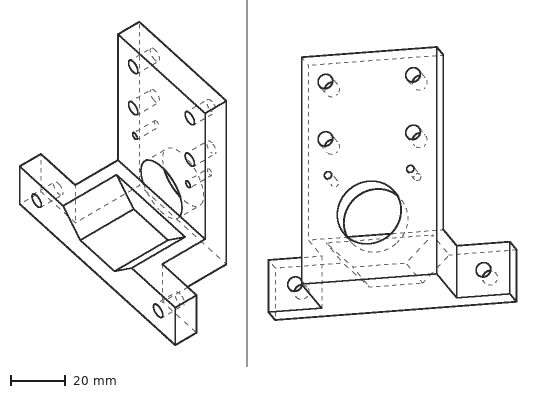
import cadquery as cq

base_width = 91.0
total_depth = 40.0
total_height = 87.0
wall = 10.0

body_width = 51.0
base_height = 2 * wall
plate_front = total_depth - wall

pocket_top_width = 40.0
pocket_floor_width = 20.0
pocket_length = 25.0
pocket_depth = base_height / 2

screw_diameter = 5.5
ear_hole_spacing = base_width - 2 * wall
plate_hole_spacing = 33.0
plate_hole_rise = 22.0
upper_hole_height = total_height - wall
lower_hole_height = upper_hole_height - plate_hole_rise
motor_bore_diameter = 24.0
motor_bore_height = 25.5
motor_screw_diameter = 2.7
motor_screw_spacing = 31.0
motor_screw_height = motor_bore_height + motor_screw_spacing / 2


def block(width, depth, height, front=0.0):
    """Box centred on X, standing on Z = 0."""
    return (
        cq.Workplane("XY")
        .box(width, depth, height, centered=(True, False, False))
        .translate((0, front, 0))
    )


def holes(diameter, points, front):
    """Cylinders along Y, one wall thickness long, starting at the given front face."""
    return (
        cq.Workplane("XZ", origin=(0, front, 0))
        .pushPoints(points)
        .circle(diameter / 2)
        .extrude(-wall)
    )


def pair(spacing, height):
    """Two points mirrored about the centre line."""
    return [(-spacing / 2, height), (spacing / 2, height)]


def make_plate():
    screw_points = pair(plate_hole_spacing, upper_hole_height) + pair(plate_hole_spacing, lower_hole_height)
    plate = block(body_width, wall, total_height, plate_front)
    plate = plate.cut(holes(screw_diameter, screw_points, plate_front))
    plate = plate.cut(holes(motor_screw_diameter, pair(motor_screw_spacing, motor_screw_height), plate_front))
    return plate.cut(holes(motor_bore_diameter, [(0, motor_bore_height)], plate_front))


def make_base():
    base = block(body_width, plate_front, base_height).union(block(base_width, wall, base_height))
    pocket = (
        cq.Workplane("XZ")
        .polyline([
            (-pocket_top_width / 2, base_height),
            (-pocket_floor_width / 2, base_height - pocket_depth),
            (pocket_floor_width / 2, base_height - pocket_depth),
            (pocket_top_width / 2, base_height),
        ])
        .close()
        .extrude(-pocket_length)
    )
    ear_holes = holes(screw_diameter, pair(ear_hole_spacing, base_height / 2), 0)
    return base.cut(pocket).cut(ear_holes)


result = make_plate().union(make_base())